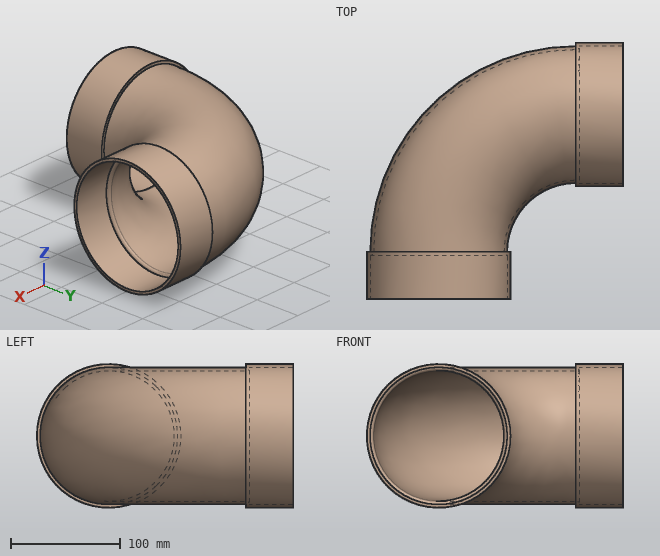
import cadquery as cq

overall_length = 233.5
collar_diameter = 131.0
collar_length = 43.2
pipe_diameter = 125.0
bore_diameter = 118.9
socket_diameter = 125.0

stop_radius = (socket_diameter - bore_diameter) / 2

bend_radius = overall_length - collar_diameter / 2 - collar_length
bend_angle = 90

inlet_plane = cq.Plane(origin=(0, 0, 0), xDir=(1, 0, 0), normal=(0, -1, 0))
outlet_plane = cq.Plane(origin=(bend_radius, bend_radius, 0), xDir=(0, 1, 0), normal=(1, 0, 0))
end_planes = (inlet_plane, outlet_plane)


def bend(diameter):
    """Solid quarter torus swept about the bend centre at (bend_radius, 0)."""
    return (
        cq.Workplane(inlet_plane)
        .circle(diameter / 2)
        .revolve(bend_angle, (bend_radius, 2.3, 0), (bend_radius, -2.3, 0))
    )


def collar(plane):
    """Solid collar running outward from one end of the bend."""
    return cq.Workplane(plane).circle(collar_diameter / 2).extrude(collar_length)


def socket(plane):
    """Cutter for a collar: flares from the bore over the rounded stop to the socket."""
    bore_radius = bore_diameter / 2
    socket_radius = socket_diameter / 2
    profile_plane = cq.Plane(origin=plane.origin, xDir=plane.xDir, normal=plane.xDir.cross(plane.zDir))
    return (
        cq.Workplane(profile_plane)
        .lineTo(bore_radius, 0)
        .radiusArc((socket_radius, stop_radius), stop_radius)
        .lineTo(socket_radius, collar_length)
        .lineTo(0, collar_length)
        .close()
        .revolve(360, (0, 0), (0, 1))
    )


result = bend(pipe_diameter)
for plane in end_planes:
    result = result.union(collar(plane))

result = result.cut(bend(bore_diameter))
for plane in end_planes:
    result = result.cut(socket(plane))